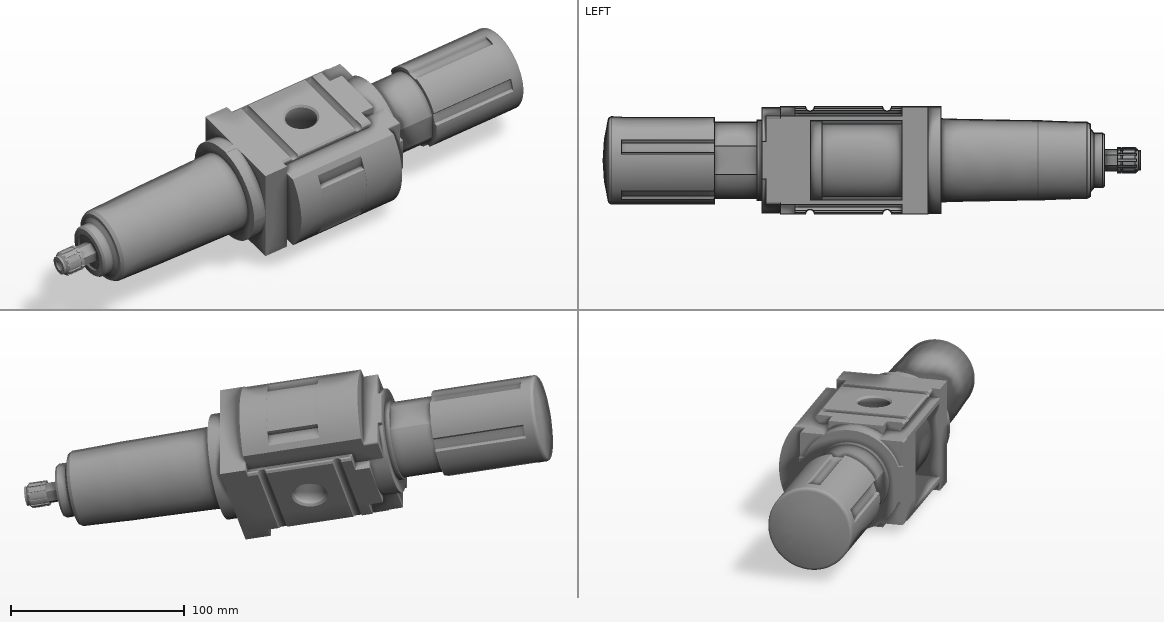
import cadquery as cq
import math


OVERALL_LENGTH = 309.63
KNOB_TOP = 141.43
KNOB_RIM = 138.0
SLOT_TOP = 130.8
KNOB_BOTTOM = 77.3
NECK_RING_TOP = 52.6
CAP_TOP = 49.9
CORNER_PLATE_TOP = 47.7
BODY_TOP = 39.3
BODY_BOTTOM = -30.7
BLOCK_BOTTOM = -45.7
COLLAR_BOTTOM = -53.3
BOWL_SEAM = -109.1
BOWL_END = -137.4
BOWL_SHOULDER = -139.4
TIP_TOP = -141.4
TIP_BOTTOM = -147.6
DRAIN_TOP = -155.1
DRAIN_BOTTOM = KNOB_TOP - OVERALL_LENGTH

HALF_WIDTH = 31.0
HALF_HEIGHT = 25.5
BODY_LENGTH = BODY_TOP - BODY_BOTTOM

KNOB_RADIUS = 50.23 / 2
KNOB_RIM_FILLET = 2.0
RIM_SEARCH = 1.0
KNOB_SLOT_COUNT = 5
SLOT_MOUTH_HALF = 4.4
SLOT_FLOOR_HALF = 2.9
SLOT_DEPTH = 1.8
NECK_RADIUS = 22.0
NECK_HALF_FLATS = 20.4
NECK_RING_RADIUS = 23.1

CAP_RADIUS = 30.4
CAP_TAB_HALF = 10.8
CAP_EDGE_FILLET = 1.0

STEM_HALF = 16.3
PANEL_TOP = 30.9
PANEL_EDGE_HALF = 26.4
PANEL_FACE_HALF = 25.2
PANEL_ROOT_HALF = 24.6
PANEL_CHAMFER_Z = 30.0
PANEL_LIP_Z = 28.8
PANEL_UNDERCUT_Z = 27.0
GROOVE_OFFSET = 22.2
GROOVE_HALF = 2.5
GROOVE_DEPTH = 2.6
PORT_DIAMETER = 18.63
PORT_MOUTH_DIAMETER = 21.0
PORT_DEPTH = 20.0

WINDOW_TOP = 21.8
WINDOW_HALF = 22.9
WINDOW_BACK = -15.6
SLEEVE_RADIUS = 26.0
SLEEVE_HEAD_RADIUS = 27.6
SLEEVE_HEAD_BOTTOM = 15.2

COVER_EDGE = 37.1
COVER_CROWN = 45.88
LENS_HALF_LENGTH = 15.0
LENS_HALF_HEIGHT = 14.7
LENS_FLOOR = 39.4
LENS_SETBACK = 0.2

COLLAR_RADIUS = 30.8
COLLAR_KEY_WIDTH = 3.0
BOWL_TOP_RADIUS = 24.0
BOWL_SEAM_RADIUS = 22.95
BOWL_END_RADIUS = 22.0
BOWL_RIM_RADIUS = 20.8
TIP_CONE_RADIUS = 18.3
TIP_RADIUS = 15.7
TIP_CHAMFER = 0.9
TIP_CHAMFER_LENGTH = 1.3
TIP_RECESS_RADIUS = 11.2
TIP_RECESS_DEPTH = 1.5
STEM_SIDES = 6
STEM_ACROSS_FLATS = 10.8
CORNER_TO_Z_ANGLE = 180 / STEM_SIDES
DRAIN_RADIUS = 7.4
DRAIN_END_RADIUS = 5.6
DRAIN_END_LENGTH = 1.2
DRAIN_CHAMFER_LENGTH = 1.8
DRAIN_NECK_RADIUS = 6.9
DRAIN_NECK_TOP = -157.0
DRAIN_NECK_WIDTH = 0.9
FLUTE_COUNT = 12
FLUTE_WIDTH = 1.4
FLUTE_DEPTH = 0.8
DRAIN_HOLE_DIAMETER = 6.0
DRAIN_HOLE_DEPTH = 3.0


def box_between(x_range, y_range, z_range):
    """Box spanning the given (low, high) ranges."""
    sizes = [high - low for low, high in (x_range, y_range, z_range)]
    corner = (x_range[0], y_range[0], z_range[0])
    return cq.Workplane("XY").box(*sizes, centered=False).translate(corner)


def disk(radius, y_low, y_high):
    """Cylinder on the Y axis."""
    return section_at(y_high).circle(radius).extrude(y_high - y_low)


def section_at(y):
    """Sketch plane at height y: local x is X, local y is Z, extrusion runs toward -Y."""
    return cq.Workplane("XZ", origin=(0, y, 0))


def spun(profile):
    """Closed half profile turned around the Y axis."""
    return profile.close().revolve(360, (0, 0, 0), (0, 1, 0))


def mirrored_in_z(shape):
    return shape.union(shape.mirror("XY"))


def knob():
    dome_rise = KNOB_TOP - KNOB_RIM
    dome_radius = (KNOB_RADIUS**2 + dome_rise**2) / (2 * dome_rise)
    half_radius = KNOB_RADIUS / 2
    dome_middle = KNOB_TOP - dome_radius + math.sqrt(dome_radius**2 - half_radius**2)
    grip = spun(
        cq.Workplane("XY")
        .moveTo(0, KNOB_BOTTOM)
        .lineTo(KNOB_RADIUS, KNOB_BOTTOM)
        .lineTo(KNOB_RADIUS, KNOB_RIM)
        .threePointArc((half_radius, dome_middle), (0, KNOB_TOP))
    )
    rim = cq.selectors.BoxSelector(
        (-HALF_WIDTH, KNOB_RIM - RIM_SEARCH, -HALF_WIDTH),
        (HALF_WIDTH, KNOB_RIM + RIM_SEARCH, HALF_WIDTH),
        boundingbox=True,
    )
    grip = grip.edges(rim).fillet(KNOB_RIM_FILLET)
    floor = KNOB_RADIUS - SLOT_DEPTH
    mouth = KNOB_RADIUS
    slot = (
        section_at(SLOT_TOP)
        .polyline([
            (-SLOT_FLOOR_HALF, floor),
            (SLOT_FLOOR_HALF, floor),
            (SLOT_MOUTH_HALF, mouth),
            (-SLOT_MOUTH_HALF, mouth),
        ])
        .close()
        .extrude(SLOT_TOP - KNOB_BOTTOM)
    )
    for index in range(KNOB_SLOT_COUNT):
        angle = index * 360 / KNOB_SLOT_COUNT
        grip = grip.cut(slot.rotate((0, 0, 0), (0, 1, 0), angle))
    return grip


def neck():
    flats = (-NECK_HALF_FLATS, NECK_HALF_FLATS)
    span = (-NECK_RADIUS, NECK_RADIUS)
    post = disk(NECK_RADIUS, CAP_TOP, KNOB_BOTTOM)
    post = post.intersect(box_between(flats, (CAP_TOP, KNOB_BOTTOM), span))
    return post.union(disk(NECK_RING_RADIUS, CAP_TOP, NECK_RING_TOP))


def cap():
    width = (-HALF_WIDTH, HALF_WIDTH)
    plate = box_between(width, (BODY_TOP, CORNER_PLATE_TOP), (-HALF_HEIGHT, HALF_HEIGHT))
    plate = plate.edges("|Y").fillet(CAP_EDGE_FILLET)
    tabs = box_between(width, (BODY_TOP, CAP_TOP), (-CAP_TAB_HALF, CAP_TAB_HALF))
    return plate.union(tabs).union(disk(CAP_RADIUS, BODY_TOP, CAP_TOP))


def port_panel():
    """Raised T on the +Z face: a wide panel with undercut sides and a stem toward the cap."""
    right_side = [
        (PANEL_ROOT_HALF, HALF_HEIGHT),
        (PANEL_ROOT_HALF, PANEL_UNDERCUT_Z),
        (PANEL_EDGE_HALF, PANEL_LIP_Z),
        (PANEL_EDGE_HALF, PANEL_CHAMFER_Z),
        (PANEL_FACE_HALF, HALF_WIDTH),
    ]
    left_side = [(-x, z) for x, z in reversed(right_side)]
    panel = (
        section_at(PANEL_TOP)
        .polyline(right_side + left_side)
        .close()
        .extrude(PANEL_TOP - BODY_BOTTOM)
    )
    stem = box_between((-STEM_HALF, STEM_HALF), (PANEL_TOP, BODY_TOP), (HALF_HEIGHT, HALF_WIDTH))
    panel = panel.union(stem)
    for center in (-GROOVE_OFFSET, GROOVE_OFFSET):
        groove = (
            cq.Workplane("YZ")
            .moveTo(center - GROOVE_HALF, HALF_WIDTH)
            .threePointArc((center, HALF_WIDTH - GROOVE_DEPTH), (center + GROOVE_HALF, HALF_WIDTH))
            .close()
            .extrude(HALF_WIDTH, both=True)
        )
        panel = panel.cut(groove)
    return panel


def port():
    """Countersunk bore entering from the +Z face."""
    mouth = PORT_MOUTH_DIAMETER / 2
    bore = PORT_DIAMETER / 2
    return (
        cq.Workplane("XZ")
        .polyline([
            (0, HALF_WIDTH),
            (mouth, HALF_WIDTH),
            (bore, HALF_WIDTH - (mouth - bore)),
            (bore, HALF_WIDTH - PORT_DEPTH),
            (0, HALF_WIDTH - PORT_DEPTH),
        ])
        .close()
        .revolve(360, (0, 0, 0), (0, 1, 0))
    )


def window():
    """Pocket from the -X face that leaves the inner sleeve standing."""
    depth = (-HALF_WIDTH, WINDOW_BACK)
    pocket = box_between(depth, (BODY_BOTTOM, WINDOW_TOP), (-WINDOW_HALF, WINDOW_HALF))
    sleeve = disk(SLEEVE_RADIUS, BODY_BOTTOM, WINDOW_TOP)
    sleeve = sleeve.union(disk(SLEEVE_HEAD_RADIUS, SLEEVE_HEAD_BOTTOM, WINDOW_TOP))
    return pocket.cut(sleeve)


def body():
    width = (-HALF_WIDTH, HALF_WIDTH)
    core = box_between(width, (BODY_BOTTOM, BODY_TOP), (-HALF_HEIGHT, HALF_HEIGHT))
    core = core.cut(window())
    core = core.union(mirrored_in_z(port_panel()))
    block = box_between(width, (BLOCK_BOTTOM, BODY_BOTTOM), width)
    return core.union(block).cut(port()).cut(port().mirror("XY"))


def crowned_section(y_top, length, setback):
    """Prism with a crowned +X side, sunk below the cover crown by the setback."""
    edge = COVER_EDGE - setback
    return (
        section_at(y_top)
        .moveTo(HALF_WIDTH, -HALF_HEIGHT)
        .lineTo(edge, -HALF_HEIGHT)
        .threePointArc((COVER_CROWN - setback, 0), (edge, HALF_HEIGHT))
        .lineTo(HALF_WIDTH, HALF_HEIGHT)
        .close()
        .extrude(length)
    )


def gauge_cover():
    cover = crowned_section(BODY_TOP, BODY_LENGTH, 0)
    length = (-LENS_HALF_LENGTH, LENS_HALF_LENGTH)
    reach = (LENS_FLOOR, COVER_CROWN)
    cover = cover.cut(box_between(reach, length, (-HALF_HEIGHT, HALF_HEIGHT)))
    lens = crowned_section(LENS_HALF_LENGTH, 2 * LENS_HALF_LENGTH, LENS_SETBACK)
    lens_limits = box_between(reach, length, (-LENS_HALF_HEIGHT, LENS_HALF_HEIGHT))
    return cover.union(lens.intersect(lens_limits))


def collar():
    ring = disk(COLLAR_RADIUS, COLLAR_BOTTOM, BLOCK_BOTTOM)
    half_key = COLLAR_KEY_WIDTH / 2
    key = box_between((-half_key, half_key), (COLLAR_BOTTOM, BLOCK_BOTTOM), (HALF_HEIGHT, HALF_WIDTH))
    return ring.union(key)


def bowl():
    recess_floor = TIP_BOTTOM + TIP_RECESS_DEPTH
    return spun(
        cq.Workplane("XY")
        .moveTo(0, COLLAR_BOTTOM)
        .lineTo(BOWL_TOP_RADIUS, COLLAR_BOTTOM)
        .lineTo(BOWL_SEAM_RADIUS, BOWL_SEAM)
        .lineTo(BOWL_END_RADIUS, BOWL_END)
        .lineTo(BOWL_RIM_RADIUS, BOWL_SHOULDER)
        .lineTo(TIP_CONE_RADIUS, BOWL_SHOULDER)
        .lineTo(TIP_RADIUS, TIP_TOP)
        .lineTo(TIP_RADIUS, TIP_BOTTOM + TIP_CHAMFER_LENGTH)
        .lineTo(TIP_RADIUS - TIP_CHAMFER, TIP_BOTTOM)
        .lineTo(TIP_RECESS_RADIUS, TIP_BOTTOM)
        .lineTo(TIP_RECESS_RADIUS, recess_floor)
        .lineTo(0, recess_floor)
    )


def drain_valve():
    stem_top = TIP_BOTTOM + TIP_RECESS_DEPTH
    across_corners = STEM_ACROSS_FLATS / math.cos(math.pi / STEM_SIDES)
    stem = section_at(stem_top).polygon(STEM_SIDES, across_corners).extrude(stem_top - DRAIN_TOP)
    stem = stem.rotate((0, 0, 0), (0, 1, 0), CORNER_TO_Z_ANGLE)

    end_top = DRAIN_BOTTOM + DRAIN_END_LENGTH
    neck_bottom = DRAIN_NECK_TOP - DRAIN_NECK_WIDTH
    grip = spun(
        cq.Workplane("XY")
        .moveTo(0, DRAIN_TOP)
        .lineTo(DRAIN_RADIUS, DRAIN_TOP)
        .lineTo(DRAIN_RADIUS, DRAIN_NECK_TOP)
        .lineTo(DRAIN_NECK_RADIUS, DRAIN_NECK_TOP)
        .lineTo(DRAIN_NECK_RADIUS, neck_bottom)
        .lineTo(DRAIN_RADIUS, neck_bottom)
        .lineTo(DRAIN_RADIUS, end_top + DRAIN_CHAMFER_LENGTH)
        .lineTo(DRAIN_END_RADIUS, end_top)
        .lineTo(DRAIN_END_RADIUS, DRAIN_BOTTOM)
        .lineTo(0, DRAIN_BOTTOM)
    )
    half_flute = FLUTE_WIDTH / 2
    flute = box_between(
        (-half_flute, half_flute),
        (DRAIN_BOTTOM, DRAIN_TOP),
        (DRAIN_RADIUS - FLUTE_DEPTH, DRAIN_RADIUS + FLUTE_DEPTH),
    )
    for index in range(FLUTE_COUNT):
        angle = index * 360 / FLUTE_COUNT
        grip = grip.cut(flute.rotate((0, 0, 0), (0, 1, 0), angle))
    hole = disk(DRAIN_HOLE_DIAMETER / 2, DRAIN_BOTTOM, DRAIN_BOTTOM + DRAIN_HOLE_DEPTH)
    return stem.union(grip.cut(hole))


result = body()
for section in (cap(), neck(), knob(), gauge_cover(), collar(), bowl(), drain_valve()):
    result = result.union(section)